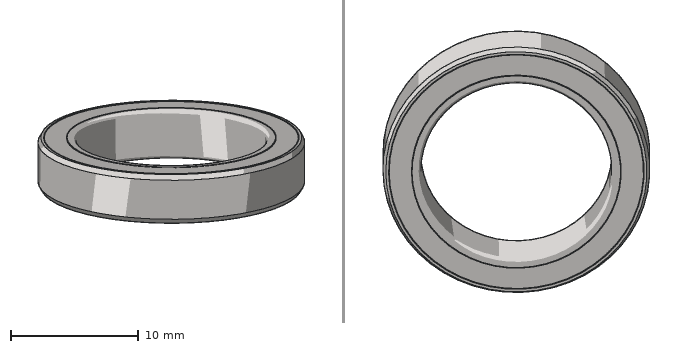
import cadquery as cq
import math

outer_diameter = 21.0
bore_diameter = 15.0
width = 4.0
half_width = width / 2

outer_ring_inner_diameter = 20.0
inner_ring_outer_diameter = 16.5
shield_thickness = 0.3

outer_chamfer_height = 0.4
outer_chamfer_slope = math.radians(60)
outer_chamfer_depth = outer_chamfer_height / math.tan(outer_chamfer_slope)
bore_fillet_radius = 0.3

lip_chamfer_depth = 0.05
outer_lip_slope = math.radians(30)
inner_lip_slope = math.radians(45)
outer_lip_height = lip_chamfer_depth * math.tan(outer_lip_slope)
inner_lip_height = lip_chamfer_depth * math.tan(inner_lip_slope)


def revolve_section(upper_half):
    """Revolve a closed (radius, z) section about Z, given its upper half from inside to outside."""
    lower_half = [(radius, -z) for radius, z in reversed(upper_half)]
    section = upper_half + lower_half
    return cq.Workplane("XZ").polyline(section).close().revolve(360, (0, 0), (0, 1))


def make_outer_ring():
    """Outer ring with steep chamfers on its outside rims and fine ones beside the shields."""
    outside_radius = outer_diameter / 2
    inside_radius = outer_ring_inner_diameter / 2
    return revolve_section([
        (inside_radius, half_width - outer_lip_height),
        (inside_radius + lip_chamfer_depth, half_width),
        (outside_radius - outer_chamfer_depth, half_width),
        (outside_radius, half_width - outer_chamfer_height),
    ])


def make_inner_ring():
    """Inner ring with fine chamfers beside the shields and both rims of its bore rounded."""
    bore_radius = bore_diameter / 2
    outside_radius = inner_ring_outer_diameter / 2
    ring = revolve_section([
        (bore_radius, half_width),
        (outside_radius - lip_chamfer_depth, half_width),
        (outside_radius, half_width - inner_lip_height),
    ])
    bore_rims = cq.selectors.RadiusNthSelector(0)
    return ring.edges("%CIRCLE").edges(bore_rims).fillet(bore_fillet_radius)


def make_shield(bottom_z):
    """Flat washer that fits between the rings, standing on the height bottom_z."""
    return (
        cq.Workplane("XY", origin=(0, 0, bottom_z))
        .circle(outer_ring_inner_diameter / 2)
        .circle(inner_ring_outer_diameter / 2)
        .extrude(shield_thickness)
    )


outer_ring = make_outer_ring()
inner_ring = make_inner_ring()

shields = []
for bottom_z in (-half_width, half_width - shield_thickness):
    shields.append(make_shield(bottom_z).val())

result = cq.Compound.makeCompound([outer_ring.val(), inner_ring.val(), *shields])